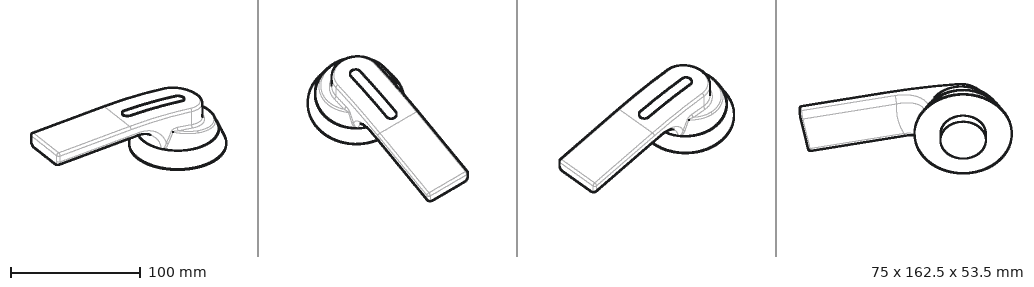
import cadquery as cq
import math

overall_length = 162.5

hub_radius = 17.5
hub_length = 8.0

skirt_radius = 37.5
rim_height = 0.8
skirt_top_radius = 32.0
skirt_height = 14.0

turret_radius = 31.5
turret_taper = 0.37
turret_blank_height = 22.8
turret_axis_height = 25.5
turret_tilt = 10.0
turret_edge_fillet = 1.6

handle_half_width = 19.0
handle_top = 45.5
grip_thickness = 12.0
handle_end_y = skirt_radius - overall_length
grip_start_y = -56.7
crown_radius = 390.0
upper_edge_fillet = 2.0
lower_edge_fillet = 4.7
junction_fillet = 2.0
underside_height = handle_top - grip_thickness
underside_arc_radius = underside_height - skirt_height
underside_start_radius = 31.8

groove_half_width = 4.2
groove_front_y = 5.4
groove_rear_y = -51.4
groove_depth = 0.5

clearance = 32.5
tolerance = 0.2


def make_skirt():
    return (
        cq.Workplane("XZ")
        .moveTo(0, 0)
        .lineTo(skirt_radius, 0)
        .lineTo(skirt_radius, rim_height)
        .lineTo(skirt_top_radius, skirt_height)
        .lineTo(0, skirt_height)
        .close()
        .revolve(360, (0, 0, 0), (0, 1, 0))
    )


def make_turret():
    blank_top_radius = turret_radius - turret_taper * turret_blank_height
    blank = (
        cq.Workplane("XY", origin=(0, 0, skirt_height))
        .circle(turret_radius)
        .workplane(offset=turret_blank_height)
        .circle(blank_top_radius)
        .loft()
    )
    cutter_side = 2 * (turret_radius + clearance)
    above_top = (
        cq.Workplane("XY")
        .rect(cutter_side, cutter_side)
        .extrude(clearance)
        .rotate((0, 0, 0), (1, 0, 0), -turret_tilt)
        .translate((0, 0, turret_axis_height))
    )
    return blank.cut(above_top).faces(">Z").edges().fillet(turret_edge_fillet)


def below_crown(depth):
    """Body filling the space under the handle's top surface, lowered by depth."""
    front_y = handle_half_width + clearance
    top = handle_top - depth
    drop = crown_radius - math.sqrt(crown_radius**2 - (front_y - grip_start_y) ** 2)
    return (
        cq.Workplane("YZ")
        .moveTo(handle_end_y - clearance, 0)
        .lineTo(handle_end_y - clearance, top)
        .lineTo(grip_start_y, top)
        .tangentArcPoint((front_y, top - drop), relative=False)
        .lineTo(front_y, 0)
        .close()
        .extrude(handle_half_width + clearance, both=True)
    )


def make_underside_cutter():
    """Ring below the grip whose inner wall sweeps from the skirt up to the grip."""
    arc_center_radius = underside_start_radius + underside_arc_radius
    diagonal = underside_arc_radius * math.sqrt(0.5)
    outer_radius = clearance - handle_end_y
    return (
        cq.Workplane("XZ")
        .moveTo(underside_start_radius, 0)
        .lineTo(underside_start_radius, skirt_height)
        .threePointArc(
            (arc_center_radius - diagonal, skirt_height + diagonal),
            (arc_center_radius, underside_height),
        )
        .lineTo(outer_radius, underside_height)
        .lineTo(outer_radius, 0)
        .close()
        .revolve(360, (0, 0, 0), (0, 1, 0))
    )


def is_lower_edge(edge):
    """True along the underside of the grip and where it sweeps down to the skirt."""
    box = edge.BoundingBox()
    return box.zmax < underside_height + tolerance and box.ymax < -tolerance


def is_crown_edge(edge):
    """True along the sides and round end of the handle's top surface."""
    box = edge.BoundingBox()
    return box.zmin > underside_height + lower_edge_fillet and box.ymax > handle_end_y + tolerance


def make_handle():
    plan = (
        cq.Workplane("XY", origin=(0, 0, skirt_height))
        .moveTo(-handle_half_width, handle_end_y)
        .lineTo(-handle_half_width, 0)
        .threePointArc((0, handle_half_width), (handle_half_width, 0))
        .lineTo(handle_half_width, handle_end_y)
        .close()
        .extrude(handle_top)
    )
    handle = plan.intersect(below_crown(0)).cut(make_underside_cutter())
    side_edges = handle.faces("<X or >X").edges().vals()
    lower_edges = [edge for edge in side_edges if is_lower_edge(edge)]
    handle = cq.Workplane(handle.val().fillet(lower_edge_fillet, lower_edges))

    end_edges = handle.faces("<Y").edges().vals()
    crown_edges = [edge for edge in handle.edges("not |X").vals() if is_crown_edge(edge)]
    return cq.Workplane(handle.val().fillet(upper_edge_fillet, end_edges + crown_edges))


def make_hub():
    return cq.Workplane("XY").circle(hub_radius).extrude(-hub_length)


def cut_indicator_groove(body):
    length = groove_front_y - groove_rear_y
    groove = (
        cq.Workplane("XY", origin=(0, (groove_front_y + groove_rear_y) / 2, skirt_height))
        .slot2D(length, 2 * groove_half_width, 90)
        .extrude(handle_top)
        .cut(below_crown(groove_depth))
    )
    return body.cut(groove)


def join_handle_to_turret():
    """Handle and turret in one body, with a fillet all along their junction."""
    body = make_turret().union(make_handle())
    junction = cq.selectors.BoxSelector(
        (-handle_half_width - tolerance, -turret_radius, skirt_height + tolerance),
        (handle_half_width + tolerance, handle_half_width + tolerance, underside_height),
        boundingbox=True,
    )
    return body.edges(junction).fillet(junction_fillet)


body = join_handle_to_turret().union(make_skirt()).union(make_hub())
result = cut_indicator_groove(body)